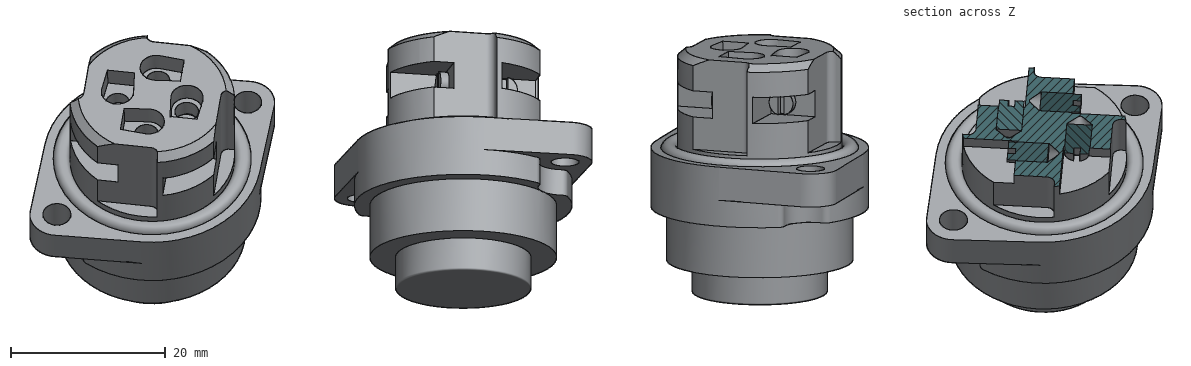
import cadquery as cq
import math


NECK_RADIUS = 8.78
NECK_TOP = 4.3
NECK_EDGE_FILLET = 0.23
BARREL_RADIUS = 12.1
BARREL_TOP = 11.3
DRUM_RADIUS = 28.15 / 2
FLANGE_BOTTOM = 14.7
FLANGE_TOP = 19.08
HEAD_RADIUS = 10.65
HEAD_TOP = 32.0
HEAD_CHAMFER_RADIAL = 1.05
HEAD_CHAMFER_HEIGHT = 0.9

EAR_RADIUS = 3.5
FLANGE_HALF_LENGTH = 19.0
MOUNT_HOLE_OFFSET = FLANGE_HALF_LENGTH - EAR_RADIUS
MOUNT_HOLE_DIAMETER = 3.6
CLEARANCE_RADIUS = EAR_RADIUS
CLEARANCE_EDGE_FILLET = 1.0

RING_SECTION_RADIUS = 2.15 / 2
RING_PROTRUSION = 0.75
RING_CENTRE_RADIUS = HEAD_RADIUS + RING_SECTION_RADIUS
RING_CENTRE_Z = FLANGE_TOP + RING_PROTRUSION - RING_SECTION_RADIUS

QUADRANT_ANGLES = [-45 + 90 * quadrant for quadrant in range(4)]
FLAT_DISTANCE = 8.8
FLAT_FLOOR = 20.05
FLAT_END = 2.0
FLAT_CORNER_FILLET = 1.0

POCKET_CENTRE = 4.52
POCKET_WIDTH = 3.55
POCKET_BACK = -3.3
POCKET_ARC_CENTRE = 0.08
POCKET_ARC_RADIUS = 2.1
POCKET_DEPTH = 2.5
POCKET_DRAFT_ANGLE = 2
PIN_HOLE_DIAMETER = 3.05
PIN_HOLE_Y = -0.15

NOTCH_BOTTOM = 24.32
NOTCH_TOP = 27.78
NOTCH_SIDE = POCKET_CENTRE - POCKET_WIDTH / 2
NOTCH_BACK = POCKET_BACK

SCREW_RADIUS = 1.65
SCREW_Z = (NOTCH_BOTTOM + NOTCH_TOP) / 2
SCREW_OUTER_END = -4.4
SCREW_INNER_END = 0.85
SCREW_LENGTH = SCREW_INNER_END - SCREW_OUTER_END
SCREW_SLOT_WIDTH = 0.8
SCREW_SLOT_DEPTH = 1.0
BORE_TIP_HALF_ANGLE = 45

CUT_REACH = 2 * HEAD_RADIUS


def cylinder(radius, bottom, top):
    return cq.Workplane("XY").workplane(offset=bottom).circle(radius).extrude(top - bottom)


def block(x_min, x_max, y_min, y_max, bottom, top):
    size = (x_max - x_min, y_max - y_min, top - bottom)
    return cq.Workplane("XY").box(*size, centered=False).translate((x_min, y_min, bottom))


def at_quadrant(shape, angle):
    return shape.rotate((0, 0, 0), (0, 0, 1), angle)


def make_drum():
    """Round drum, relieved below the mounting holes with rounded edges."""
    drum = cylinder(DRUM_RADIUS, BARREL_TOP, FLANGE_TOP)
    for side in (-1, 1):
        relief = cylinder(CLEARANCE_RADIUS, BARREL_TOP, FLANGE_TOP)
        drum = drum.cut(relief.translate((0, side * MOUNT_HOLE_OFFSET, 0)))
    relief_edges = drum.edges("|Z").edges(">Y or <Y")
    return relief_edges.fillet(CLEARANCE_EDGE_FILLET)


def make_flange():
    """Plate bounded by the drum circle, the ear circles and their common tangents."""
    normal_y = (DRUM_RADIUS - EAR_RADIUS) / MOUNT_HOLE_OFFSET
    normal_x = math.sqrt(1 - normal_y**2)
    drum_x = DRUM_RADIUS * normal_x
    drum_y = DRUM_RADIUS * normal_y
    ear_x = EAR_RADIUS * normal_x
    ear_y = MOUNT_HOLE_OFFSET + EAR_RADIUS * normal_y
    plate = (
        cq.Workplane("XY").workplane(offset=FLANGE_BOTTOM)
        .moveTo(drum_x, -drum_y)
        .threePointArc((DRUM_RADIUS, 0), (drum_x, drum_y))
        .lineTo(ear_x, ear_y)
        .threePointArc((0, FLANGE_HALF_LENGTH), (-ear_x, ear_y))
        .lineTo(-drum_x, drum_y)
        .threePointArc((-DRUM_RADIUS, 0), (-drum_x, -drum_y))
        .lineTo(-ear_x, -ear_y)
        .threePointArc((0, -FLANGE_HALF_LENGTH), (ear_x, -ear_y))
        .close()
        .extrude(FLANGE_TOP - FLANGE_BOTTOM)
    )
    for side in (-1, 1):
        hole = cylinder(MOUNT_HOLE_DIAMETER / 2, FLANGE_BOTTOM, FLANGE_TOP)
        plate = plate.cut(hole.translate((0, side * MOUNT_HOLE_OFFSET, 0)))
    return plate


def make_head():
    head = cylinder(HEAD_RADIUS, FLANGE_TOP, HEAD_TOP)
    return head.faces(">Z").chamfer(HEAD_CHAMFER_HEIGHT, HEAD_CHAMFER_RADIAL)


def ring_groove():
    groove_floor = RING_CENTRE_Z - RING_SECTION_RADIUS
    outer = cylinder(RING_CENTRE_RADIUS + RING_SECTION_RADIUS, groove_floor, FLANGE_TOP)
    return outer.cut(cylinder(HEAD_RADIUS, groove_floor, FLANGE_TOP))


def flat_cut():
    """Flat on the side of the head, ending in a rounded corner and a wall."""
    cut = block(FLAT_DISTANCE, CUT_REACH, -CUT_REACH, FLAT_END, FLAT_FLOOR, HEAD_TOP)
    return cut.edges("|Z and <X and >Y").fillet(FLAT_CORNER_FILLET)


def pocket_cut():
    """Drafted pocket, square at one end, widening along tangents to a round end."""
    half_width = POCKET_WIDTH / 2
    length = POCKET_ARC_CENTRE - POCKET_BACK
    corner_distance = math.hypot(half_width, length)
    flare = math.asin(POCKET_ARC_RADIUS / corner_distance) - math.atan2(half_width, length)
    tangent_x = POCKET_ARC_RADIUS * math.cos(flare)
    tangent_y = POCKET_ARC_CENTRE - POCKET_ARC_RADIUS * math.sin(flare)
    return (
        cq.Workplane("XY").workplane(offset=HEAD_TOP)
        .moveTo(POCKET_CENTRE - half_width, POCKET_BACK)
        .lineTo(POCKET_CENTRE + half_width, POCKET_BACK)
        .lineTo(POCKET_CENTRE + tangent_x, tangent_y)
        .threePointArc(
            (POCKET_CENTRE, POCKET_ARC_CENTRE + POCKET_ARC_RADIUS),
            (POCKET_CENTRE - tangent_x, tangent_y),
        )
        .close()
        .extrude(-POCKET_DEPTH, taper=POCKET_DRAFT_ANGLE)
    )


def pin_hole_cut():
    """Hole from the pocket down to the middle of the screw bore."""
    hole = cylinder(PIN_HOLE_DIAMETER / 2, SCREW_Z, HEAD_TOP - POCKET_DEPTH)
    return hole.translate((POCKET_CENTRE, PIN_HOLE_Y, 0))


def notch_cut():
    """Side opening that gives access to the screw."""
    return block(NOTCH_SIDE, CUT_REACH, -CUT_REACH, NOTCH_BACK, NOTCH_BOTTOM, NOTCH_TOP)


def screw_bore_cut():
    """Blind bore along local Y with a conical end."""
    tip_length = SCREW_RADIUS / math.tan(math.radians(BORE_TIP_HALF_ANGLE))
    bore = (
        cq.Workplane("XY")
        .moveTo(0, SCREW_OUTER_END)
        .lineTo(SCREW_RADIUS, SCREW_OUTER_END)
        .lineTo(SCREW_RADIUS, SCREW_INNER_END)
        .lineTo(0, SCREW_INNER_END + tip_length)
        .close()
        .revolve(360, (0, 0), (0, 1))
    )
    return bore.translate((POCKET_CENTRE, 0, SCREW_Z))


def make_housing():
    neck = cylinder(NECK_RADIUS, 0, NECK_TOP).faces("<Z").edges().fillet(NECK_EDGE_FILLET)
    barrel = cylinder(BARREL_RADIUS, NECK_TOP, BARREL_TOP)
    housing = neck.union(barrel).union(make_drum()).union(make_flange()).union(make_head())
    housing = housing.cut(ring_groove())
    quadrant_cuts = [flat_cut(), pocket_cut(), pin_hole_cut(), notch_cut(), screw_bore_cut()]
    for angle in QUADRANT_ANGLES:
        for cut in quadrant_cuts:
            housing = housing.cut(at_quadrant(cut, angle))
    return housing


def make_sealing_ring():
    return (
        cq.Workplane("XZ")
        .center(RING_CENTRE_RADIUS, RING_CENTRE_Z)
        .circle(RING_SECTION_RADIUS)
        .revolve(360, (-RING_CENTRE_RADIUS, 0), (-RING_CENTRE_RADIUS, 1))
    )


def make_screw(angle):
    """Headless screw along local Y with an upright driver slot in its outer end."""
    screw = cq.Workplane("XZ").circle(SCREW_RADIUS).extrude(-SCREW_LENGTH)
    slot = block(
        -SCREW_SLOT_WIDTH / 2, SCREW_SLOT_WIDTH / 2,
        0, SCREW_SLOT_DEPTH,
        -SCREW_RADIUS, SCREW_RADIUS,
    )
    screw = screw.cut(slot).translate((POCKET_CENTRE, SCREW_OUTER_END, SCREW_Z))
    return at_quadrant(screw, angle)


housing = make_housing()
sealing_ring = make_sealing_ring()
screws = [make_screw(angle) for angle in QUADRANT_ANGLES]

result = cq.Compound.makeCompound(
    [housing.val(), sealing_ring.val(), *[screw.val() for screw in screws]]
)